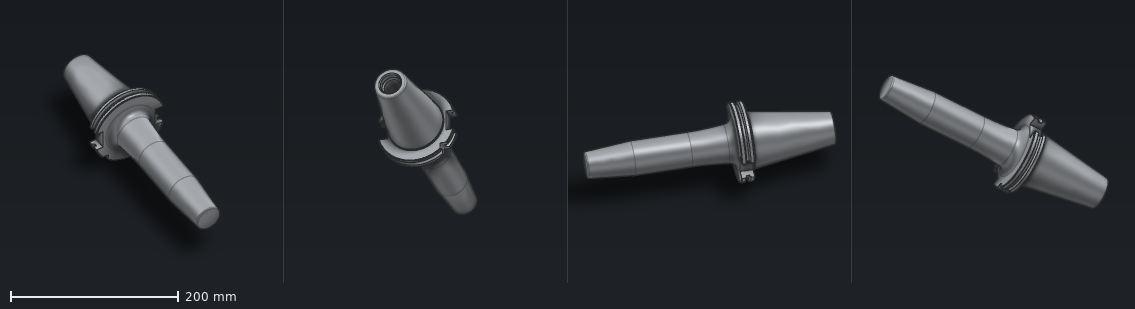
import cadquery as cq
import math

overall_length = 301.5

taper_length = 101.5
gauge_radius = 35.0
taper_slope = 7 / 48
small_radius = gauge_radius - taper_length * taper_slope
small_end_round = 1.8
recess_depth = 1.0

flange_start = 104.7
flange_end = 120.5
flange_radius = 48.7
flange_chamfer = 1.0
groove_center = 112.5
groove_mouth_half = 3.17
groove_floor_half = 1.5
groove_floor_radius = 45.1

slot_width = 25.5
front_slot_floor = 37.7
rear_slot_floor = 35.3
notch_offset = 30.0
notch_corner_round = 1.8

neck_fillet_radius = 10.3
neck_root_radius = 34.0
neck_start = 131.0
neck_radius = 23.8
shank_start = 175.5
shank_radius = 21.0
nose_start = 245.0
nose_radius = 16.3
nose_round = 1.5

countersink_radius = 14.2
pilot_radius = 12.7
pilot_depth = 7.8
drill_radius = 10.5
drill_depth = 45.2
drill_tip_half_angle = 59.0


def make_body():
    """Solid of revolution without the flange cuts or the bore."""
    neck_drop = neck_radius - shank_radius
    neck_arc_radius = ((shank_start - neck_start) ** 2 + neck_drop**2) / (2 * neck_drop)
    fillet_chord_x = neck_start - flange_end
    fillet_chord_r = neck_radius - neck_root_radius
    fillet_chord = math.hypot(fillet_chord_x, fillet_chord_r)
    fillet_sag = neck_fillet_radius - math.sqrt(neck_fillet_radius**2 - (fillet_chord / 2) ** 2)
    fillet_mid = (
        (flange_end + neck_start) / 2 + fillet_sag * fillet_chord_r / fillet_chord,
        (neck_root_radius + neck_radius) / 2 - fillet_sag * fillet_chord_x / fillet_chord,
    )
    arc_half_chord = (shank_start - neck_start) / 2
    neck_mid = (
        neck_start + arc_half_chord,
        shank_radius + neck_arc_radius - math.sqrt(neck_arc_radius**2 - arc_half_chord**2),
    )
    profile = (
        cq.Workplane("XY")
        .moveTo(0, 0)
        .lineTo(0, small_radius)
        .lineTo(taper_length, gauge_radius)
        .lineTo(taper_length + recess_depth, gauge_radius - recess_depth)
        .lineTo(flange_start - recess_depth, gauge_radius - recess_depth)
        .lineTo(flange_start, gauge_radius)
        .lineTo(flange_start, flange_radius - flange_chamfer)
        .lineTo(flange_start + flange_chamfer, flange_radius)
        .lineTo(groove_center - groove_mouth_half, flange_radius)
        .lineTo(groove_center - groove_floor_half, groove_floor_radius)
        .lineTo(groove_center + groove_floor_half, groove_floor_radius)
        .lineTo(groove_center + groove_mouth_half, flange_radius)
        .lineTo(flange_end - flange_chamfer, flange_radius)
        .lineTo(flange_end, flange_radius - flange_chamfer)
        .lineTo(flange_end, neck_root_radius)
        .threePointArc(fillet_mid, (neck_start, neck_radius))
        .threePointArc(neck_mid, (shank_start, shank_radius))
        .lineTo(nose_start, shank_radius)
        .lineTo(overall_length, nose_radius)
        .lineTo(overall_length, 0)
        .close()
    )
    body = profile.revolve(360, (0, 0, 0), (1, 0, 0))
    body = body.faces("<X").edges().fillet(small_end_round)
    return body.faces(">X").edges().fillet(nose_round)


def flange_block(y_inner, y_outer, z_low, z_high):
    """Box across the full flange thickness."""
    return cq.Workplane("XY").box(
        flange_end - flange_start, y_outer - y_inner, z_high - z_low, centered=False
    ).translate((flange_start, y_inner, z_low))


def make_flange_cuts():
    """Two opposed drive slots of unequal depth and a corner notch."""
    outside = flange_radius + 3
    half_slot = slot_width / 2
    front_slot = flange_block(-outside, -front_slot_floor, -half_slot, half_slot)
    rear_slot = flange_block(rear_slot_floor, outside, -half_slot, half_slot)
    notch = flange_block(-outside, -notch_offset, -outside, -notch_offset)
    notch = notch.edges("|X and >Y and >Z").fillet(notch_corner_round)
    return front_slot.union(rear_slot).union(notch)


def make_bore():
    """Countersunk pilot bore stepping down to a drilled hole with a conical tip."""
    countersink_depth = countersink_radius - pilot_radius
    step_length = pilot_radius - drill_radius
    tip_length = drill_radius / math.tan(math.radians(drill_tip_half_angle))
    profile = (
        cq.Workplane("XY")
        .moveTo(0, 0)
        .lineTo(0, countersink_radius)
        .lineTo(countersink_depth, pilot_radius)
        .lineTo(pilot_depth, pilot_radius)
        .lineTo(pilot_depth + step_length, drill_radius)
        .lineTo(drill_depth, drill_radius)
        .lineTo(drill_depth + tip_length, 0)
        .close()
    )
    return profile.revolve(360, (0, 0, 0), (1, 0, 0))


result = make_body().cut(make_flange_cuts()).cut(make_bore())